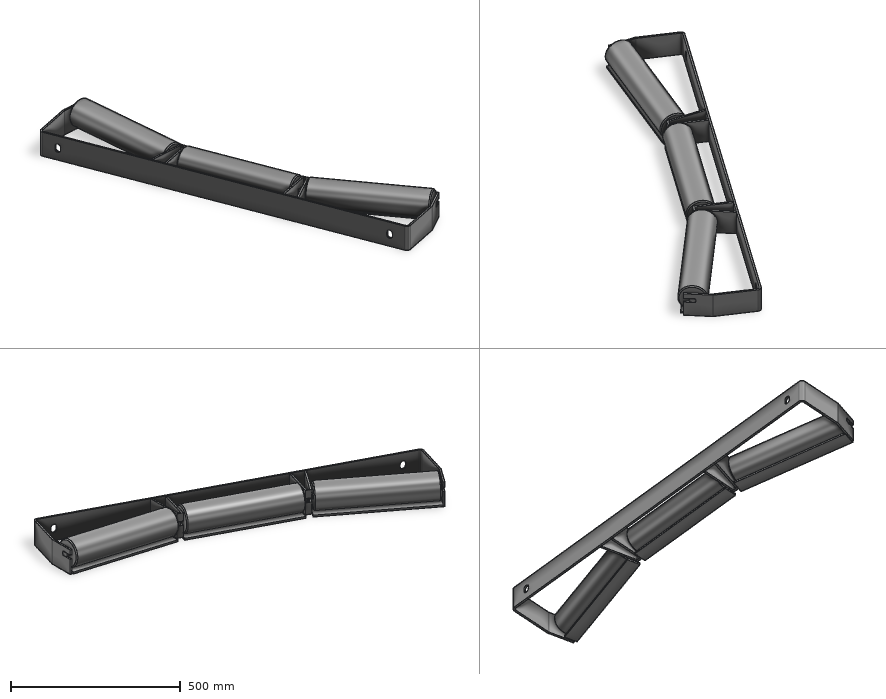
import cadquery as cq
import math


frame_length = 1240.0
strip_height = 80.0
plate_thickness = 6.0
corner_radius = 12.0
arm_bend_y = 148.0
bolt_slot_x = 557.0
bolt_slot_width = 19.0
bolt_slot_height = 27.0

trough_angle = 15.0
forward_tilt = 1.4
roller_radius = 45.0
roller_length = 380.0
roller_chamfer = 4.0
shaft_length = 399.0
shaft_diameter = 20.0
shaft_flat_thickness = 14.0
support_span = 402.0
plate_end_above_axis = 27.0
middle_axis_y = 102.0
axis_above_strip_middle = 6.0

strap_length = 387.0
strap_front = 36.0
strap_width = 42.0
strap_thickness = 6.0

middle_axis_z = strip_height / 2 + axis_above_strip_middle
half_span = support_span / 2
inner_face = half_span - plate_thickness
half_length = frame_length / 2
slope = math.radians(trough_angle)
half_bend = math.tan(slope / 2)
side_axis_y = middle_axis_y + half_span * math.sin(slope)
outer_axis_y = middle_axis_y + support_span * math.sin(slope)
side_axis_x = half_length - (outer_axis_y - arm_bend_y) * math.tan(slope) - half_span * math.cos(slope)
side_axis_z = middle_axis_z + half_span * math.sin(math.radians(forward_tilt))


def roller_place(side):
    """Placement of a roller: side is -1 for the left, 0 for the middle and 1 for the right one."""
    if side == 0:
        return cq.Location(cq.Vector(0, middle_axis_y, middle_axis_z))
    position = cq.Location(cq.Vector(side * side_axis_x, side_axis_y, side_axis_z))
    trough = cq.Location(cq.Vector(), cq.Vector(0, 0, 1), side * trough_angle)
    tilt = cq.Location(cq.Vector(), cq.Vector(0, 1, 0), -side * forward_tilt)
    return position * trough * tilt


def side_plan_point(side, outward, above):
    """Plan point from a side roller's centre: outward along its axis, then away from the frame back."""
    x = side_axis_x + outward * math.cos(slope) - above * math.sin(slope)
    y = side_axis_y + outward * math.sin(slope) + above * math.cos(slope)
    return (side * x, y)


def rod(radius, length):
    """Round rod along X, centred on the origin."""
    return cq.Workplane("YZ", origin=(-length / 2, 0, 0)).circle(radius).extrude(length)


def shaft_shape(length):
    """Round shaft with two flats, centred on the origin along X."""
    flats = cq.Workplane().box(length, shaft_diameter, shaft_flat_thickness)
    return rod(shaft_diameter / 2, length).intersect(flats)


def shaft_slots():
    """Cutters for the slots that let both ends of a shaft slide into its plates along Y."""
    slot_depth = 2 * plate_end_above_axis
    slot_length = 2 * plate_thickness
    slot_middle = half_span - plate_thickness / 2
    cutters = shaft_shape(support_span + slot_length)
    for end in (-1, 1):
        opening = cq.Workplane().box(slot_length, slot_depth, shaft_flat_thickness)
        cutters = cutters.union(opening.translate((end * slot_middle, slot_depth / 2, 0)))
    return cutters


def make_roller(side):
    """Chamfered barrel on its flattened shaft."""
    barrel = rod(roller_radius, roller_length)
    barrel = barrel.faces("<X or >X").chamfer(roller_chamfer)
    return barrel.union(shaft_shape(shaft_length)).val().moved(roller_place(side))


def make_strap(side):
    """Flat strap running below a roller, parallel to its axis."""
    strap = cq.Workplane().box(strap_length, strap_width, strap_thickness)
    strap = strap.translate((0, strap_front - strap_width / 2, -middle_axis_z - strap_thickness / 2))
    return strap.val().moved(roller_place(side))


def mirrored_prism(half_outline, fold_radius):
    """Prism over a half outline and its mirror image, with the folds at its two sides rounded."""
    other_half = [(-x, y) for x, y in reversed(half_outline)]
    prism = cq.Workplane().polyline(half_outline + other_half).close().extrude(strip_height)
    return prism.edges("|Z").edges(">X or <X").fillet(fold_radius)


def make_frame():
    """Strip folded into a shallow tray, with leaning arms that hold the outer shaft ends."""
    inside = half_length - plate_thickness
    arm_end_outside = side_plan_point(1, half_span, plate_end_above_axis)
    arm_end_inside = side_plan_point(1, inner_face, plate_end_above_axis)
    outer_half = [(half_length, 0), (half_length, arm_bend_y), arm_end_outside, arm_end_inside]
    inner_half = [
        (inside, plate_thickness),
        (inside, arm_bend_y - plate_thickness * half_bend),
        arm_end_inside,
    ]
    frame = mirrored_prism(outer_half, corner_radius)
    frame = frame.cut(mirrored_prism(inner_half, corner_radius - plate_thickness))

    bolt_slots = (
        cq.Workplane("XZ", origin=(0, 0, strip_height / 2))
        .pushPoints([(-bolt_slot_x, 0), (bolt_slot_x, 0)])
        .slot2D(bolt_slot_height, bolt_slot_width, 90)
        .extrude(-2 * plate_thickness)
    )
    frame = frame.cut(bolt_slots)
    for side in (-1, 1):
        frame = frame.cut(cq.Workplane(shaft_slots().val().moved(roller_place(side))))
    return frame.val()


def make_bracket(side):
    """Folded bracket between the middle roller and a side roller, standing on the frame back."""
    web_top = plate_end_above_axis
    web_underside = web_top - plate_thickness
    foot_rise = (plate_thickness - side_axis_y) / math.cos(slope)
    outline = [
        (side * inner_face, plate_thickness),
        (side * inner_face, middle_axis_y + web_top),
        side_plan_point(side, -inner_face, web_top),
        side_plan_point(side, -inner_face, foot_rise + inner_face * math.tan(slope)),
        side_plan_point(side, -half_span, foot_rise + half_span * math.tan(slope)),
        side_plan_point(side, -half_span, web_underside),
        (side * half_span, middle_axis_y + web_underside),
        (side * half_span, plate_thickness),
    ]
    bracket = cq.Workplane().polyline(outline).close().extrude(strip_height)
    for roller in (0, side):
        bracket = bracket.cut(cq.Workplane(shaft_slots().val().moved(roller_place(roller))))
    return bracket.val()


frame = make_frame()
brackets = [make_bracket(side) for side in (-1, 1)]
rollers = [make_roller(side) for side in (-1, 0, 1)]
straps = [make_strap(side) for side in (-1, 0, 1)]

result = cq.Compound.makeCompound([frame, *brackets, *rollers, *straps])